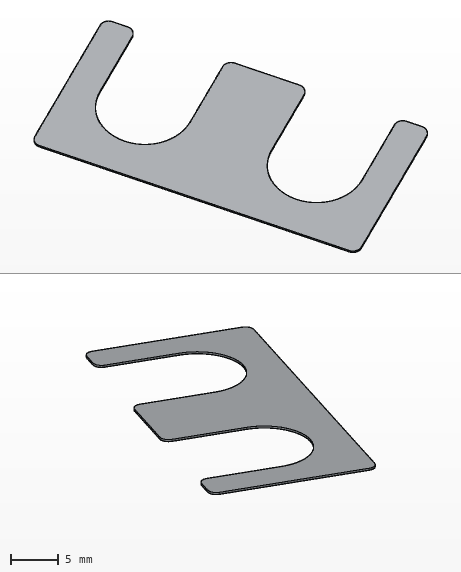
import cadquery as cq

length = 38.0
width = length / 2
thickness = 0.25
corner_radius = 1.0

slot_width = 10.5
slot_spacing = 20.0
slot_radius = slot_width / 2
slot_center_y = 0.0


def open_slot(center_x):
    """Cutter for one slot: a round bottom and a straight run out of the +Y edge."""
    run = width / 2 - slot_center_y
    bottom = cq.Workplane("XY").center(center_x, slot_center_y).circle(slot_radius).extrude(thickness)
    straight = (
        cq.Workplane("XY")
        .center(center_x, slot_center_y + run / 2)
        .rect(slot_width, run)
        .extrude(thickness)
    )
    return bottom.union(straight)


plate = cq.Workplane("XY").rect(length, width).extrude(thickness)
for side in (-1, 1):
    plate = plate.cut(open_slot(side * slot_spacing / 2))

mouth_corners = plate.faces(">Y").edges("|Z")
base_corners = plate.faces("<Y").edges("|Z")
result = plate.newObject(mouth_corners.vals() + base_corners.vals()).fillet(corner_radius)